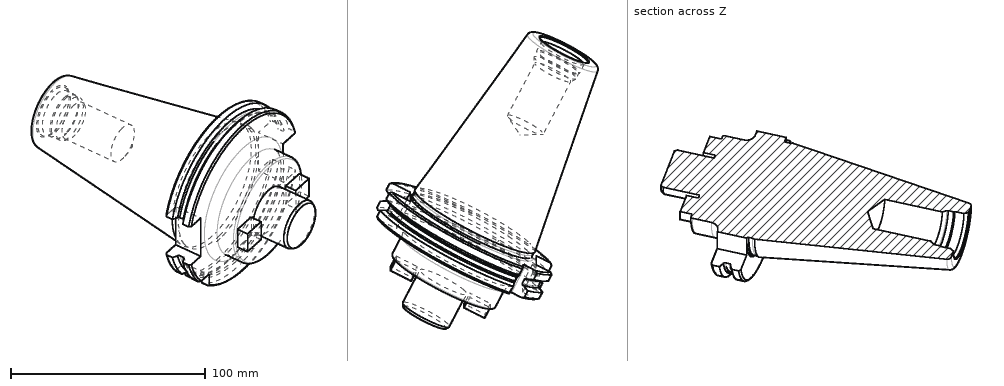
import cadquery as cq
import math

total_length = 157.6
taper_end = 100.7
flange_start = 104.8
flange_width = 15.9
flange_end = flange_start + flange_width
shank_end = 136.6

taper_small_radius = 20.2
taper_slope = 7 / 48
taper_end_radius = taper_small_radius + taper_slope * taper_end
small_end_rounding = 2.2
neck_radius = 34.5
neck_start = 102.1
neck_fillet = 1.0

flange_radius = 48.7
flange_chamfer = 1.0
groove_floor_radius = 45.4
groove_top_half_width = 3.3
groove_floor_half_width = 1.9
groove_floor_fillet = 0.8
groove_flank_half_angle = 30
groove_flank_depth = (groove_top_half_width - groove_floor_half_width) / math.tan(
    math.radians(groove_flank_half_angle)
)
groove_center = flange_start + flange_width / 2

drive_slot_width = 25.7
drive_slot_floor_front = 37.7
drive_slot_floor_back = 35.3
notch_distance = 30.0
notch_corner_radius = 1.3
cut_clearance = 1.5

nose_radius = 30.0
nose_fillet = 4.7
nose_rounding = 1.0
pilot_radius = 13.5
pilot_chamfer = 1.5
pilot_edge_drop = 1.0
key_width = 12.0
key_inner = 15.3
key_outer = 27.3
key_end = 143.0

mouth_radius = 14.5
mouth_chamfer_radius = 13.7
mouth_chamfer_depth = 0.3
pilot_bore_radius = 12.5
pilot_bore_start = 2.2
pilot_bore_end = 7.1
middle_bore_radius = 12.1
middle_bore_start = 7.7
middle_bore_end = 10.5
inner_cone_radius = 11.8
inner_cone_start = 11.3
drill_radius = 10.4
drill_start = 13.2
drill_depth = 44.1
drill_half_angle = 60


def revolve_about_x(outline):
    return outline.close().revolve(360, (0, 0, 0), (1, 0, 0))


def make_body():
    wall_radius = flange_radius - groove_flank_depth
    fillet_top_radius = groove_floor_radius + groove_floor_fillet
    flat_half_width = groove_floor_half_width - groove_floor_fillet
    outline = (
        cq.Workplane("XY")
        .lineTo(0, taper_small_radius)
        .lineTo(taper_end, taper_end_radius)
        .lineTo(neck_start, neck_radius)
        .lineTo(flange_start - neck_fillet, neck_radius)
        .radiusArc((flange_start, neck_radius + neck_fillet), -neck_fillet)
        .lineTo(flange_start, flange_radius - flange_chamfer)
        .lineTo(flange_start + flange_chamfer, flange_radius)
        .lineTo(groove_center - groove_top_half_width, flange_radius)
        .lineTo(groove_center - groove_floor_half_width, wall_radius)
        .lineTo(groove_center - groove_floor_half_width, fillet_top_radius)
        .radiusArc((groove_center - flat_half_width, groove_floor_radius), -groove_floor_fillet)
        .lineTo(groove_center + flat_half_width, groove_floor_radius)
        .radiusArc((groove_center + groove_floor_half_width, fillet_top_radius), -groove_floor_fillet)
        .lineTo(groove_center + groove_floor_half_width, wall_radius)
        .lineTo(groove_center + groove_top_half_width, flange_radius)
        .lineTo(flange_end - flange_chamfer, flange_radius)
        .lineTo(flange_end, flange_radius - flange_chamfer)
        .lineTo(flange_end, nose_radius + nose_fillet)
        .radiusArc((flange_end + nose_fillet, nose_radius), -nose_fillet)
        .lineTo(shank_end - nose_rounding, nose_radius)
        .radiusArc((shank_end, nose_radius - nose_rounding), nose_rounding)
        .lineTo(shank_end, pilot_radius)
        .lineTo(total_length - pilot_chamfer, pilot_radius)
        .lineTo(total_length, pilot_radius - pilot_edge_drop)
        .lineTo(total_length, 0)
    )
    body = revolve_about_x(outline)
    return body.faces("<X").edges().fillet(small_end_rounding)


def make_bore():
    tip_depth = drill_depth + drill_radius / math.tan(math.radians(drill_half_angle))
    outline = (
        cq.Workplane("XY")
        .lineTo(0, mouth_radius)
        .lineTo(mouth_chamfer_depth, mouth_chamfer_radius)
        .lineTo(pilot_bore_start, pilot_bore_radius)
        .lineTo(pilot_bore_end, pilot_bore_radius)
        .lineTo(middle_bore_start, middle_bore_radius)
        .lineTo(middle_bore_end, middle_bore_radius)
        .lineTo(inner_cone_start, inner_cone_radius)
        .lineTo(drill_start, drill_radius)
        .lineTo(drill_depth, drill_radius)
        .lineTo(tip_depth, 0)
    )
    return revolve_about_x(outline)


def flange_block(y_min, y_max, z_min, z_max):
    block = cq.Workplane("XY").box(flange_width, y_max - y_min, z_max - z_min, centered=False)
    return block.translate((flange_start, y_min, z_min))


def make_flange_cuts():
    reach = flange_radius + cut_clearance
    half_slot = drive_slot_width / 2
    front_slot = flange_block(-reach, -drive_slot_floor_front, -half_slot, half_slot)
    back_slot = flange_block(drive_slot_floor_back, reach, -half_slot, half_slot)
    notch = flange_block(-reach, -notch_distance, -reach, -notch_distance)
    notch = notch.edges("|X and >Y and >Z").fillet(notch_corner_radius)
    return front_slot.union(back_slot).union(notch)


def make_key(side):
    length = key_end - shank_end + nose_rounding
    key = cq.Workplane("XY").box(length, key_outer - key_inner, key_width)
    return key.translate((key_end - length / 2, side * (key_inner + key_outer) / 2, 0))


result = make_body().cut(make_bore()).cut(make_flange_cuts())
for side in (-1, 1):
    result = result.union(make_key(side))